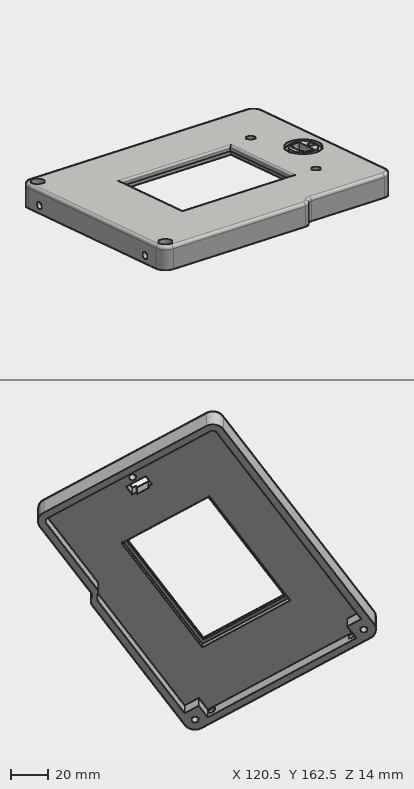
import cadquery as cq
import math

width = 120.5
length = 162.5
height = 14.0
corner_radius = 6.5
rim_fillet = 2.0
plate_thickness = 6.5
wall_thickness = 4.0
half_width = width / 2
plate_underside = height - plate_thickness

step_depth = 3.9
step_start_y = 98.2
step_length = 7.3
step_outer_radius = 5.2

window_width = 52.0
window_length = 76.0
window_center_y = 79.3
window_fillet = 1.3
window_lip_thickness = 3.3
window_ledge = 2.0

port_y = 146.5
groove_outer_diameter = 20.6
groove_inner_diameter = 16.0
groove_depth = 2.0
opening_width = 12.4
opening_top = 2.1
opening_bottom = -3.9
key_width = 7.6
key_bottom = -5.0
port_hole_diameter = 3.7
port_hole_offset = 5.4

pin_hole_diameter = 5.2
pin_hole_depth = 3.9
pin_hole_spacing = 55.0
pin_hole_y = 132.6

screw_diameter = 3.7
screw_head_diameter = 7.6
screw_head_depth = 5.7
screw_x = half_width - corner_radius
screw_y = corner_radius

side_hole_diameter = 4.0
side_hole_inset = 15.8
side_hole_z = 4.7


def outline(inset):
    """Closed outline of the cover, moved inwards by inset."""
    left = -half_width + inset
    right = half_width - inset
    rear_right = right - step_depth
    front = inset
    rear = length - inset
    radius = corner_radius - inset
    bulge = radius * (1 - math.sqrt(0.5))

    turn = 2 * math.atan2(step_depth, step_length)
    inner_radius = step_length / math.sin(turn) - step_outer_radius
    half_turn_dx = 1 - math.cos(turn / 2)
    half_turn_dy = math.sin(turn / 2)
    join_x = right - step_outer_radius * (1 - math.cos(turn))
    join_y = step_start_y + step_outer_radius * math.sin(turn)
    step_end_y = step_start_y + step_length

    return (
        cq.Workplane("XY")
        .moveTo(left + radius, front)
        .lineTo(right - radius, front)
        .threePointArc((right - bulge, front + bulge), (right, front + radius))
        .lineTo(right, step_start_y)
        .threePointArc(
            (right - step_outer_radius * half_turn_dx, step_start_y + step_outer_radius * half_turn_dy),
            (join_x, join_y),
        )
        .threePointArc(
            (rear_right + inner_radius * half_turn_dx, step_end_y - inner_radius * half_turn_dy),
            (rear_right, step_end_y),
        )
        .lineTo(rear_right, rear - radius)
        .threePointArc((rear_right - bulge, rear - bulge), (rear_right - radius, rear))
        .lineTo(left + radius, rear)
        .threePointArc((left + bulge, rear - bulge), (left, rear - radius))
        .lineTo(left, front + radius)
        .threePointArc((left + bulge, front + bulge), (left + radius, front))
        .close()
    )


def cylinder_down(x, y, top, diameter, depth):
    """Vertical cylinder reaching down from the height top."""
    return cq.Workplane("XY", origin=(x, y, top - depth)).circle(diameter / 2).extrude(depth)


def window_block(growth, depth):
    """Block rising from the plate underside, larger than the window by growth on each side."""
    return (
        cq.Workplane("XY", origin=(0, window_center_y, plate_underside))
        .rect(window_width + 2 * growth, window_length + 2 * growth)
        .extrude(depth)
    )


def cover_shell():
    """Rounded cover with a cavity and solid posts around the corner screws."""
    body = outline(0).extrude(height).faces(">Z").edges().fillet(rim_fillet)
    cavity = outline(wall_thickness).extrude(plate_underside)
    post_size = 2 * corner_radius
    for side in (-1, 1):
        post = (
            cq.Workplane("XY", origin=(side * screw_x, screw_y, 0))
            .rect(post_size, post_size)
            .extrude(plate_underside)
        )
        cavity = cavity.cut(post)
    return body.cut(cavity)


def cut_window(body):
    """Window with a rounded upper rim and a wider recess in the plate underside."""
    opening = window_block(0, plate_thickness)
    recess = window_block(window_ledge, plate_thickness - window_lip_thickness)
    body = body.cut(opening)
    body = body.faces(">Z").wires(cq.selectors.AreaNthSelector(0)).fillet(window_fillet)
    return body.cut(recess)


def cut_port(body):
    """Ring groove with the keyed opening and the small hole inside it."""
    groove = cylinder_down(0, port_y, height, groove_outer_diameter, groove_depth)
    groove = groove.cut(cylinder_down(0, port_y, height, groove_inner_diameter, groove_depth))
    opening = (
        cq.Workplane("XY", origin=(0, port_y, plate_underside))
        .moveTo(-opening_width / 2, opening_top)
        .lineTo(opening_width / 2, opening_top)
        .lineTo(opening_width / 2, opening_bottom)
        .lineTo(key_width / 2, opening_bottom)
        .lineTo(key_width / 2, key_bottom)
        .lineTo(-key_width / 2, key_bottom)
        .lineTo(-key_width / 2, opening_bottom)
        .lineTo(-opening_width / 2, opening_bottom)
        .close()
        .extrude(plate_thickness)
    )
    hole = cylinder_down(0, port_y + port_hole_offset, height, port_hole_diameter, plate_thickness)
    return body.cut(groove).cut(opening).cut(hole)


def cut_pin_holes(body):
    """Two blind holes in the top face."""
    for side in (-1, 1):
        x = side * pin_hole_spacing / 2
        body = body.cut(cylinder_down(x, pin_hole_y, height, pin_hole_diameter, pin_hole_depth))
    return body


def cut_screw_holes(body):
    """Through holes with a deep round head recess ending in a 90 degree cone."""
    head_floor = height - screw_head_depth
    head_radius = screw_head_diameter / 2
    screw_radius = screw_diameter / 2
    for side in (-1, 1):
        x = side * screw_x
        cone = cq.Solid.makeCone(
            screw_radius,
            head_radius,
            head_radius - screw_radius,
            pnt=cq.Vector(x, screw_y, head_floor - (head_radius - screw_radius)),
        )
        body = body.cut(cylinder_down(x, screw_y, height, screw_diameter, height))
        body = body.cut(cylinder_down(x, screw_y, height, screw_head_diameter, screw_head_depth))
        body = body.cut(cq.Workplane(cone))
    return body


def cut_side_holes(body):
    """Two holes through the front wall into the cavity."""
    holes = (
        cq.Workplane("XZ", origin=(0, 0, side_hole_z))
        .pushPoints([(side * (half_width - side_hole_inset), 0) for side in (-1, 1)])
        .circle(side_hole_diameter / 2)
        .extrude(-wall_thickness)
    )
    return body.cut(holes)


result = cover_shell()
result = cut_window(result)
result = cut_port(result)
result = cut_pin_holes(result)
result = cut_screw_holes(result)
result = cut_side_holes(result)